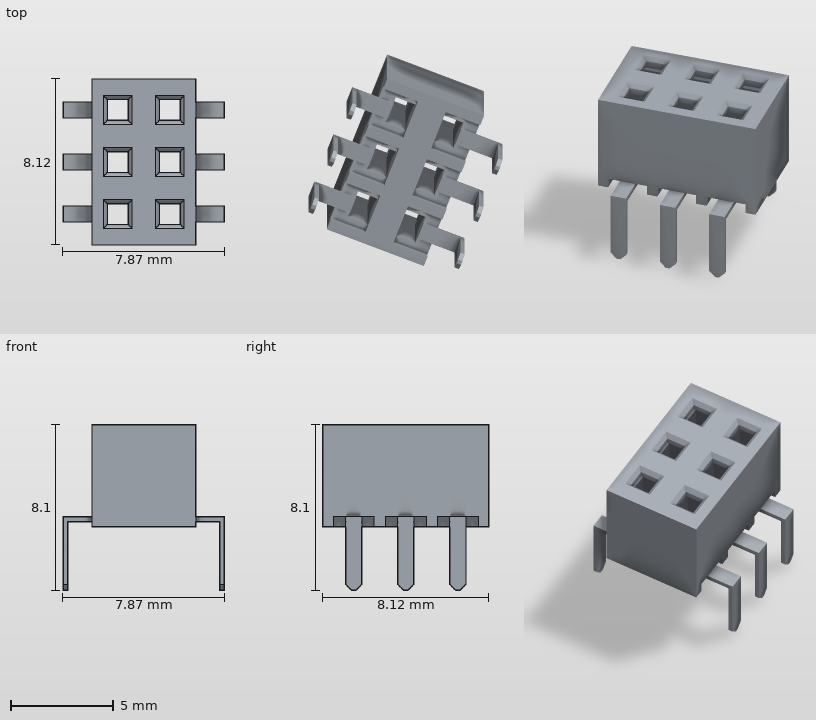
import cadquery as cq

pitch = 2.54
rows = 3
columns = 2

housing_x = columns * pitch
housing_y = 8.12
housing_z = 5.0

opening = 1.0
lead_in = 0.2
throat_end_depth = 0.5

strip_thickness = 0.23
arm_thickness = 0.25
leg_width = 0.8
leg_span = 7.87
leg_bottom_z = -3.1
tip_taper = 0.3
blade_width = 1.4
blade_top_gap = 0.22
chamber_clearance = 0.04

notch_width = 2.0
notch_height = 0.5

socket_x = pitch / 2
socket_inner_x = socket_x - opening / 2
socket_outer_x = socket_x + opening / 2
chamber_inner_x = socket_inner_x - chamber_clearance
blade_outer_x = socket_outer_x + strip_thickness
wall_x = housing_x / 2
leg_outer_x = leg_span / 2
leg_inner_x = leg_outer_x - strip_thickness

throat_end_z = housing_z - throat_end_depth
blade_top_z = throat_end_z - blade_top_gap
arm_bottom_z = notch_height - arm_thickness


def block(x_min, x_max, width_y, z_min, z_max):
    """Box between two X and two Z limits, centred on Y = 0."""
    return (
        cq.Workplane("XY", origin=((x_min + x_max) / 2, 0, z_min))
        .rect(x_max - x_min, width_y)
        .extrude(z_max - z_min)
    )


def socket_cutter():
    """Everything removed from the housing for one contact on the +X side."""
    hole = block(socket_inner_x, socket_outer_x, opening, 0, housing_z)
    mouth = (
        cq.Workplane("XY", origin=(socket_x, 0, housing_z - lead_in))
        .rect(opening, opening)
        .workplane(offset=lead_in)
        .rect(opening + 2 * lead_in, opening + 2 * lead_in)
        .loft(ruled=True)
    )
    chamber = block(chamber_inner_x, blade_outer_x, blade_width, 0, throat_end_z)
    notch = block(chamber_inner_x, wall_x, notch_width, 0, notch_height)
    return hole.union(mouth).union(chamber).union(notch)


def contact():
    """One contact on the +X side: blade standing on the arm, and leg with a tapered tip."""
    blade = block(socket_outer_x, blade_outer_x, blade_width, notch_height, blade_top_z)
    arm = block(socket_outer_x, leg_outer_x, leg_width, arm_bottom_z, notch_height)
    leg = (
        block(leg_inner_x, leg_outer_x, leg_width, leg_bottom_z, notch_height)
        .faces("<Z")
        .edges("|X")
        .chamfer(tip_taper)
    )
    return blade.union(arm).union(leg)


def place(shape, side_angle, y):
    """Turn a +X side shape to its side of the part and move it to its row."""
    return shape.rotate((0, 0, 0), (0, 0, 1), side_angle).translate((0, y, 0))


row_positions = [(row - (rows - 1) / 2) * pitch for row in range(rows)]
side_angles = (0, 180)
sites = [(angle, y) for angle in side_angles for y in row_positions]

result = block(-wall_x, wall_x, housing_y, 0, housing_z)
for angle, y in sites:
    result = result.cut(place(socket_cutter(), angle, y))
for angle, y in sites:
    result = result.union(place(contact(), angle, y))